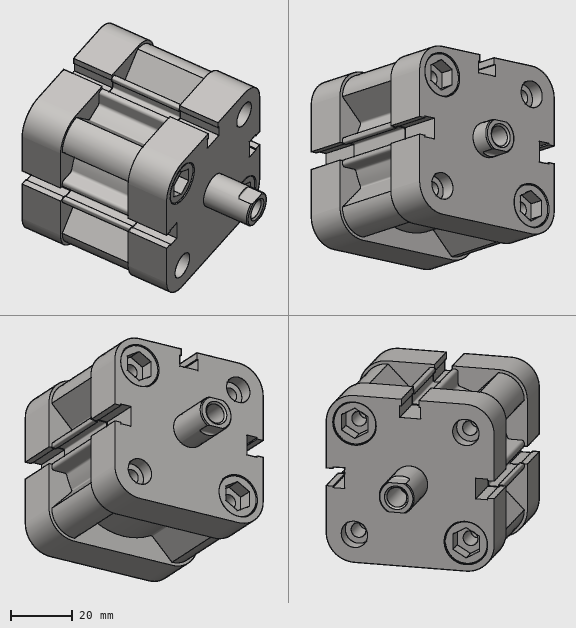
import cadquery as cq
import math


rod_length = 80.0
rod_left = -rod_length / 2
rod_right = rod_length / 2
left_rod_overhang = 7.0
right_rod_overhang = 17.0
cap_length = 14.9
left_face = rod_left + left_rod_overhang
right_face = rod_right - right_rod_overhang
barrel_left = left_face + cap_length
barrel_right = right_face - cap_length
barrel_length = barrel_right - barrel_left

rod_radius = 5.9
rod_chamfer_length = 0.5
rod_chamfer_depth = 0.3
across_flats = 10.0
flat_length = 5.4
flat_end_fillet = 0.5
thread_radius = 3.4
thread_depth = 16.0
thread_mouth_radius = 4.0
drill_tip_half_angle = 59.0

cap_size = 57.0
cap_half = cap_size / 2
cap_corner_radius = 9.6
screw_offset = cap_half - cap_corner_radius
screw_hole_radius = 2.5
counterbore_radius = 4.5
counterbore_depth = 5.0
hex_across_flats = 9.0
hex_depth = 5.4
head_radius = 7.1
head_recess_depth = 0.4
head_gap = 0.2
head_gap_depth = 0.8
cap_slot = {"mouth_width": 6.0, "width": 7.0, "lip_height": 2.3, "depth": 6.2}

barrel_half = 27.4
barrel_corner_radius = 8.7
tube_radius = 22.4
trough_half_width = barrel_half - barrel_corner_radius
trough_fillet = 0.8
rail_half_width = 5.0
rail_outer_fillet = 1.0
rail_mouth_fillet = 0.5
rail_base_fillet = 1.0
barrel_slot_floor_fillet = 0.5
barrel_slot = {"mouth_width": 5.4, "width": 6.6, "lip_height": 1.5, "depth": 4.9}

slotted_sides = [0, 90, -90]
plain_side = 180

head_corners = [(1, 1), (-1, -1)]
counterbore_corners = [(1, -1), (-1, 1)]


def turned(shape, angle):
    """The shape turned about the X axis."""
    return shape.rotate((0, 0, 0), (1, 0, 0), angle)


def bar(x_start, length, y_size, z_low, z_high):
    """Rectangular bar along X, centred on Y = 0."""
    block = cq.Workplane("XY").box(length, y_size, z_high - z_low, centered=(False, True, False))
    return block.translate((x_start, 0, z_low))


def corner_points(corners):
    return [(y * screw_offset, z * screw_offset) for y, z in corners]


def at_corners(x_start, corners):
    """Workplane facing +X at x_start with a point on each given corner."""
    return cq.Workplane("YZ", origin=(x_start, 0, 0)).pushPoints(corner_points(corners))


def square_block(x_start, length, half, corner_radius):
    """Square block along X with rounded long edges."""
    return bar(x_start, length, 2 * half, -half, half).edges("|X").fillet(corner_radius)


def screw_holes(x_start, length):
    return at_corners(x_start, head_corners + counterbore_corners).circle(screw_hole_radius).extrude(length)


def rod_bore(x_start, length):
    return cq.Workplane("YZ", origin=(x_start, 0, 0)).circle(rod_radius).extrude(length)


def sensor_slot(x_start, length, top, slot):
    """T-shaped cutter on the +Z side whose mouth opens at height top."""
    lip_bottom = top - slot["lip_height"]
    mouth = bar(x_start, length, slot["mouth_width"], lip_bottom, top)
    pocket = bar(x_start, length, slot["width"], top - slot["depth"], lip_bottom)
    return mouth.union(pocket)


def make_left_cap():
    cap = square_block(left_face, cap_length, cap_half, cap_corner_radius)
    for side in slotted_sides:
        cap = cap.cut(turned(sensor_slot(left_face, cap_length, cap_half, cap_slot), side))
    cap = cap.cut(rod_bore(left_face, cap_length))
    cap = cap.cut(screw_holes(left_face, cap_length))
    counterbores = at_corners(left_face, counterbore_corners).circle(counterbore_radius)
    cap = cap.cut(counterbores.extrude(counterbore_depth))

    recess_radius = head_radius + head_gap
    head_face = left_face + head_recess_depth
    recesses = at_corners(left_face, head_corners).circle(recess_radius).extrude(head_recess_depth)
    ring_gaps = at_corners(head_face, head_corners).circle(recess_radius).circle(head_radius)
    hex_across_corners = hex_across_flats / math.cos(math.pi / 6)
    hex_sockets = cq.Workplane("YZ", origin=(head_face, 0, 0))
    hex_sockets = hex_sockets.transformed(rotate=(0, 0, 90))
    hex_sockets = hex_sockets.pushPoints([(z, -y) for y, z in corner_points(head_corners)])
    hex_sockets = hex_sockets.polygon(6, hex_across_corners).extrude(hex_depth)
    return cap.cut(recesses).cut(hex_sockets).cut(ring_gaps.extrude(head_gap_depth))


def make_right_cap():
    """The same cap turned half a turn about a vertical axis through the middle of the barrel."""
    middle = (left_face + right_face) / 2
    return make_left_cap().rotate((middle, 0, 0), (middle, 0, 1), 180)


def rail():
    """Block that stands between two troughs and carries a sensor slot."""
    block = bar(barrel_left, barrel_length, 2 * rail_half_width, 0, barrel_half)
    return block.edges("|X and >Z").fillet(rail_outer_fillet)


def trough(with_rail):
    """Cutter for the +Z side: 45 degree flanks down to the round tube, sparing the rail if there is one."""
    apex = barrel_half - trough_half_width
    wedge = (
        cq.Workplane("YZ", origin=(barrel_left, 0, 0))
        .polyline([(0, apex), (trough_half_width, barrel_half), (-trough_half_width, barrel_half)])
        .close()
        .extrude(barrel_length)
    )
    tube = cq.Workplane("YZ", origin=(barrel_left, 0, 0)).circle(tube_radius).extrude(barrel_length)
    cutter = wedge.cut(tube).edges("<Z").fillet(trough_fillet)
    if with_rail:
        base_z = math.sqrt(tube_radius**2 - rail_half_width**2)
        cutter = cutter.cut(rail())
        for side in (-1, 1):
            base = cq.selectors.NearestToPointSelector(
                (barrel_left + barrel_length / 2, side * rail_half_width, base_z)
            )
            cutter = cutter.edges(base).fillet(rail_base_fillet)
    return cutter


def barrel_slot_cutter():
    """Sensor slot with rounded floor corners and a mouth that flares into the rounded edges of the lips."""
    slot = sensor_slot(barrel_left, barrel_length, barrel_half, barrel_slot)
    slot = slot.faces("<Z").edges("|X").fillet(barrel_slot_floor_fillet)
    flare_half = barrel_slot["mouth_width"] / 2 + rail_mouth_fillet
    flare = bar(barrel_left, barrel_length, 2 * flare_half, barrel_half - rail_mouth_fillet, barrel_half)
    rounds = (
        cq.Workplane("YZ", origin=(barrel_left, 0, 0))
        .pushPoints([(side * flare_half, barrel_half - rail_mouth_fillet) for side in (-1, 1)])
        .circle(rail_mouth_fillet)
        .extrude(barrel_length)
    )
    return slot.union(flare.cut(rounds))


def make_barrel():
    barrel = square_block(barrel_left, barrel_length, barrel_half, barrel_corner_radius)
    for side in slotted_sides:
        barrel = barrel.cut(turned(trough(True), side))
        barrel = barrel.cut(turned(barrel_slot_cutter(), side))
    barrel = barrel.cut(turned(trough(False), plain_side))
    barrel = barrel.cut(rod_bore(barrel_left, barrel_length))
    return barrel.cut(screw_holes(barrel_left, barrel_length))


def rod_end_flat():
    """Cutter for the wrench flat on the +Z side of the left rod end."""
    cutter = bar(rod_left, flat_length, 2 * rod_radius, across_flats / 2, rod_radius)
    return cutter.edges(">X and <Z").fillet(flat_end_fillet)


def thread_hole():
    """Threaded hole in the left rod end, with a mouth chamfer and a drill tip."""
    mouth_depth = thread_mouth_radius - thread_radius
    tip_length = thread_radius / math.tan(math.radians(drill_tip_half_angle))
    return (
        cq.Workplane("XZ")
        .polyline([
            (rod_left, 0),
            (rod_left, thread_mouth_radius),
            (rod_left + mouth_depth, thread_radius),
            (rod_left + thread_depth, thread_radius),
            (rod_left + thread_depth + tip_length, 0),
        ])
        .close()
        .revolve(360, (0, 0, 0), (1, 0, 0))
    )


def make_rod():
    end_radius = rod_radius - rod_chamfer_depth
    rod = (
        cq.Workplane("XZ")
        .polyline([
            (rod_left, 0),
            (rod_left, end_radius),
            (rod_left + rod_chamfer_length, rod_radius),
            (rod_right - rod_chamfer_length, rod_radius),
            (rod_right, end_radius),
            (rod_right, 0),
        ])
        .close()
        .revolve(360, (0, 0, 0), (1, 0, 0))
    )
    end_cutters = [thread_hole(), rod_end_flat(), turned(rod_end_flat(), 180)]
    for cutter in end_cutters:
        rod = rod.cut(cutter).cut(cutter.mirror("YZ"))
    return rod


left_cap = make_left_cap()
right_cap = make_right_cap()
barrel = make_barrel()
rod = make_rod()

result = cq.Compound.makeCompound([left_cap.val(), right_cap.val(), barrel.val(), rod.val()])